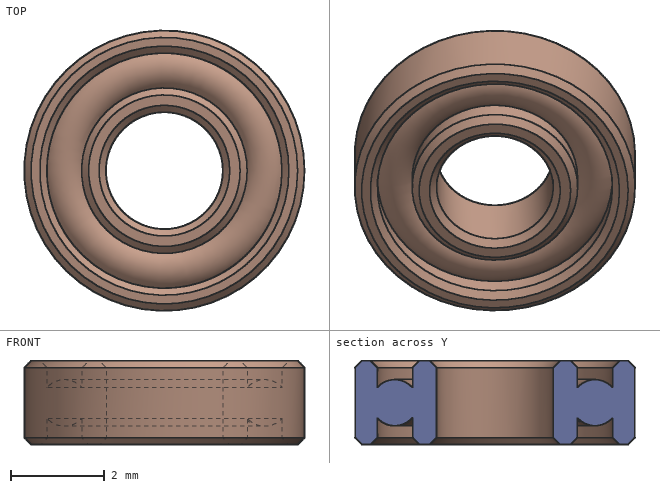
import cadquery as cq

outer_radius = 3.0
bore_radius = 1.25
width = 1.8
chamfer = 0.15
inner_ring_radius = 1.77
outer_ring_bore_radius = 2.515
ball_radius = 0.5

pitch_radius = (inner_ring_radius + outer_ring_bore_radius) / 2


def ring(outside, inside):
    """Bearing ring centred on the XY plane, chamfered on all four rims."""
    body = cq.Workplane("XY", origin=(0, 0, -width / 2)).circle(outside).circle(inside).extrude(width)
    return body.faces("|Z").edges().chamfer(chamfer)


ball_row = (
    cq.Workplane("XZ")
    .center(pitch_radius, 0)
    .circle(ball_radius)
    .revolve(360, (-pitch_radius, 0, 0), (-pitch_radius, 1, 0))
)

outer_ring = ring(outer_radius, outer_ring_bore_radius)
inner_ring = ring(inner_ring_radius, bore_radius)

result = outer_ring.union(inner_ring).union(ball_row)